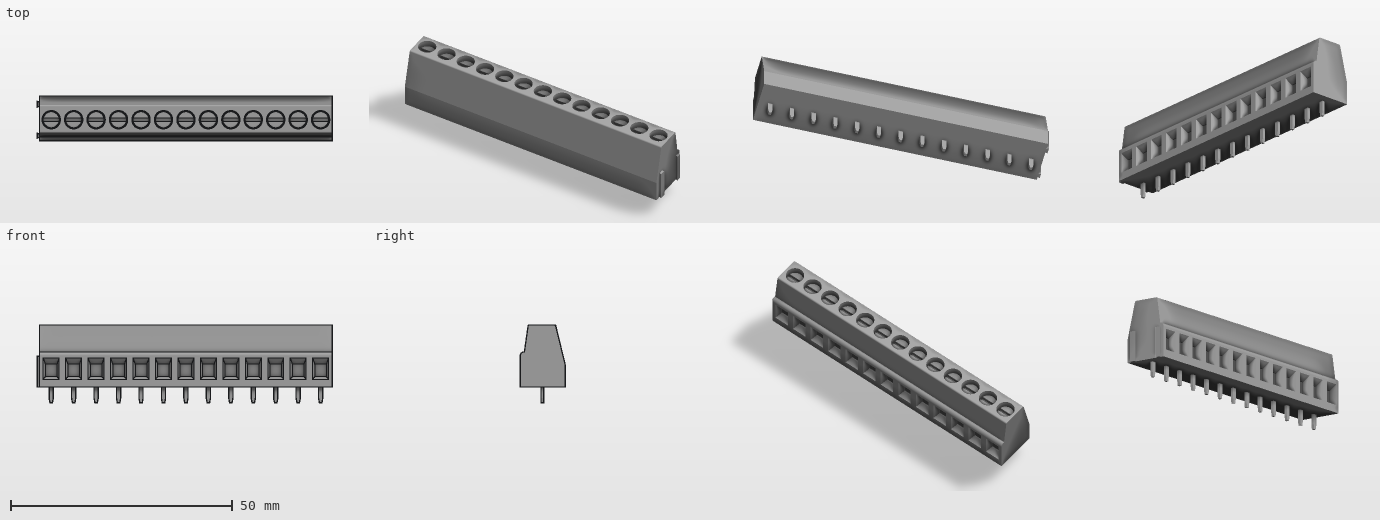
import cadquery as cq

overall_length = 66.65
pole_count = 13
pole_pitch = 5.05

rail_depth = 0.5
rail_height = 7.0
rail_flare = 0.2
back_rail_y = (2.6, 4.0)
front_rail_y = (-4.4, -3.2)

housing_length = overall_length - rail_depth
housing_height = 14.05
front_y = -5.0
back_y = 5.2
top_front_y = -3.2
top_back_y = 3.0
back_wall_height = 5.05
ledge_height = 8.0
ledge_radius = 0.9
ledge_inner_y = front_y + ledge_radius
top_edge_radius = 0.3

entry_width = 3.6
entry_bottom = 1.8
entry_top = 6.6
entry_inner_width = 2.6
entry_inner_bottom = 2.4
entry_inner_top = 5.2
entry_depth = 1.45
entry_recess_depth = 0.25

screw_y = -0.2
well_diameter = 4.1
screw_diameter = 3.65
screw_height = 1.3
well_depth = 1.4
slot_width = 0.8
slot_depth = 0.8

pin_width = 1.0
pin_thickness = 0.65
pin_length = 3.5
pin_tip_length = 1.05
pin_tip_width = 0.6
pin_shank_length = pin_length - pin_tip_length

housing_start = -housing_length / 2
first_pole_x = -pole_pitch * (pole_count - 1) / 2
pole_positions = [first_pole_x + pole * pole_pitch for pole in range(pole_count)]


def make_housing():
    """Tapered profile with a rounded front ledge, extruded along X."""
    housing = (
        cq.Workplane("YZ", origin=(housing_start, 0, 0))
        .moveTo(front_y, 0)
        .lineTo(back_y, 0)
        .lineTo(back_y, back_wall_height)
        .lineTo(top_back_y, housing_height)
        .lineTo(top_front_y, housing_height)
        .lineTo(ledge_inner_y, ledge_height)
        .radiusArc((front_y, ledge_height - ledge_radius), -ledge_radius)
        .close()
        .extrude(housing_length)
    )
    return housing.faces(">Z").edges("|X").fillet(top_edge_radius)


def make_rail(y_range):
    """Dovetail rail, widest at its free end."""
    y_min, y_max = y_range
    free_end = housing_start - rail_depth
    return (
        cq.Workplane("XY")
        .polyline([
            (housing_start, y_min + rail_flare),
            (free_end, y_min),
            (free_end, y_max),
            (housing_start, y_max - rail_flare),
        ])
        .close()
        .extrude(rail_height)
    )


def make_wire_entry(x):
    """Funnel cutter from the front face, ending in a short straight recess."""
    mouth_z = (entry_bottom + entry_top) / 2
    floor_z = (entry_inner_bottom + entry_inner_top) / 2
    funnel = (
        cq.Workplane("XZ", origin=(x, front_y, 0))
        .center(0, mouth_z)
        .rect(entry_width, entry_top - entry_bottom)
        .workplane(offset=-entry_depth)
        .center(0, floor_z - mouth_z)
        .rect(entry_inner_width, entry_inner_top - entry_inner_bottom)
        .loft(ruled=True)
    )
    recess = (
        cq.Workplane("XZ", origin=(x, front_y + entry_depth, floor_z))
        .rect(entry_inner_width, entry_inner_top - entry_inner_bottom)
        .extrude(-entry_recess_depth)
    )
    return funnel.union(recess)


def make_screw_well(x):
    """Round well cutter that leaves a slotted screw head standing inside a narrow gap."""
    well = (
        cq.Workplane("XY", origin=(x, screw_y, housing_height))
        .circle(well_diameter / 2)
        .extrude(-well_depth - screw_height)
    )
    screw = (
        cq.Workplane("XY", origin=(x, screw_y, housing_height - well_depth))
        .circle(screw_diameter / 2)
        .extrude(-screw_height)
    )
    slot = (
        cq.Workplane("XY", origin=(x, screw_y, housing_height - well_depth))
        .rect(screw_diameter, slot_width)
        .extrude(-slot_depth)
    )
    return well.cut(screw.cut(slot))


def make_pin(x):
    """Flat pin below the housing, tapered in width at the tip."""
    return (
        cq.Workplane("XZ", origin=(x, 0, 0))
        .polyline([
            (-pin_width / 2, 0),
            (pin_width / 2, 0),
            (pin_width / 2, -pin_shank_length),
            (pin_tip_width / 2, -pin_length),
            (-pin_tip_width / 2, -pin_length),
            (-pin_width / 2, -pin_shank_length),
        ])
        .close()
        .extrude(pin_thickness / 2, both=True)
    )


result = make_housing()
for rail_y in (back_rail_y, front_rail_y):
    result = result.union(make_rail(rail_y))
for pole_x in pole_positions:
    result = result.cut(make_wire_entry(pole_x))
    result = result.cut(make_screw_well(pole_x))
    result = result.union(make_pin(pole_x))